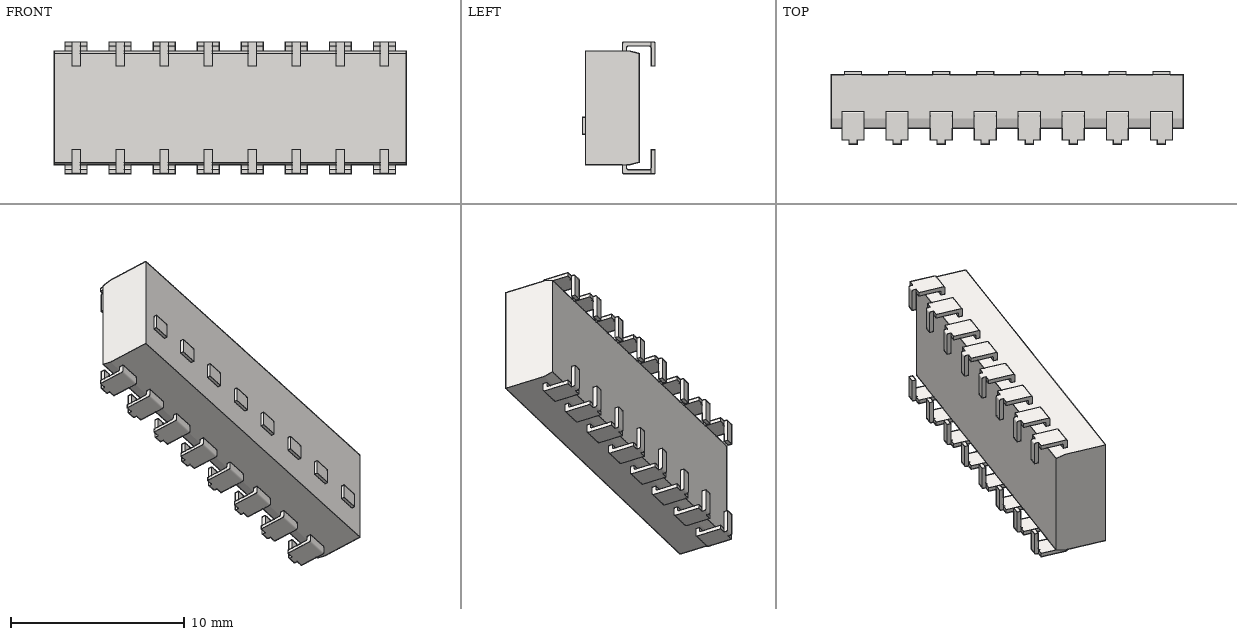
import cadquery as cq

body_length = 20.32
body_depth = 3.1
body_height = 6.56
slope_depth = 0.55
slope_drop = 0.15

lead_count = 8
lead_pitch = 2.55
lead_thickness = 0.25
lead_standoff = 0.53
lead_depth = 1.89
lead_front_gap = 0.91
lead_width = 1.28
foot_width = 0.49
foot_length = 1.4
bend_radius = 0.1
lead_embed = 0.1

actuator_size = 1.0
actuator_height = 0.18
actuator_offset = -1.04

lead_top = body_height / 2 + lead_standoff
lead_underside = lead_top - lead_thickness
lead_front = -lead_front_gap
lead_back = lead_front + lead_depth
foot_back = lead_front + lead_thickness
lead_xs = [(i - (lead_count - 1) / 2) * lead_pitch for i in range(lead_count)]


def make_body():
    """Block whose two front long edges slope towards the front face."""
    half_height = body_height / 2
    front_half_height = half_height - slope_drop
    outline = [
        (0, -front_half_height),
        (slope_depth, -half_height),
        (body_depth, -half_height),
        (body_depth, half_height),
        (slope_depth, half_height),
        (0, front_half_height),
    ]
    return cq.Workplane("YZ").polyline(outline).close().extrude(body_length / 2, both=True)


def plate_profile():
    """Side outline of the wide part: a leg rising from the body and a plate running forward."""
    root = body_height / 2 - lead_embed
    leg_front = lead_back - lead_thickness
    outline = [
        (lead_back, root),
        (lead_back, lead_top),
        (foot_back, lead_top),
        (foot_back, lead_underside),
        (leg_front, lead_underside),
        (leg_front, root),
    ]
    return cq.Workplane("YZ").polyline(outline).close()


def foot_profile():
    """Side outline of the narrow part: it leaves the plate and turns along the front face."""
    foot_end = lead_top - foot_length
    joint = foot_back + lead_thickness
    outline = [
        (joint, lead_top),
        (lead_front, lead_top),
        (lead_front, foot_end),
        (foot_back, foot_end),
        (foot_back, lead_underside),
        (joint, lead_underside),
    ]
    return cq.Workplane("YZ").polyline(outline).close()


def round_bend(solid, y, z):
    """Round the edge that runs along X through the given point."""
    edge = cq.selectors.NearestToPointSelector((0, y, z))
    return solid.edges(edge).fillet(bend_radius)


def make_upper_lead():
    """Lead bent out of the body, forward over its edge and along the front into a narrow foot."""
    plate = plate_profile().extrude(lead_width / 2, both=True)
    plate = round_bend(plate, lead_back, lead_top)
    plate = round_bend(plate, lead_back - lead_thickness, lead_underside)

    foot = foot_profile().extrude(foot_width / 2, both=True)
    foot = round_bend(foot, lead_front, lead_top)
    foot = round_bend(foot, foot_back, lead_underside)
    return plate.union(foot)


def make_actuator():
    """Square button standing on the back face, below its middle."""
    return (
        cq.Workplane("XY")
        .box(actuator_size, actuator_height, actuator_size, centered=(True, False, True))
        .translate((0, body_depth, actuator_offset))
    )


result = make_body()
upper_lead = make_upper_lead()
lower_lead = upper_lead.mirror("XY")
actuator = make_actuator()
for x in lead_xs:
    for feature in (upper_lead, lower_lead, actuator):
        result = result.union(feature.translate((x, 0, 0)))